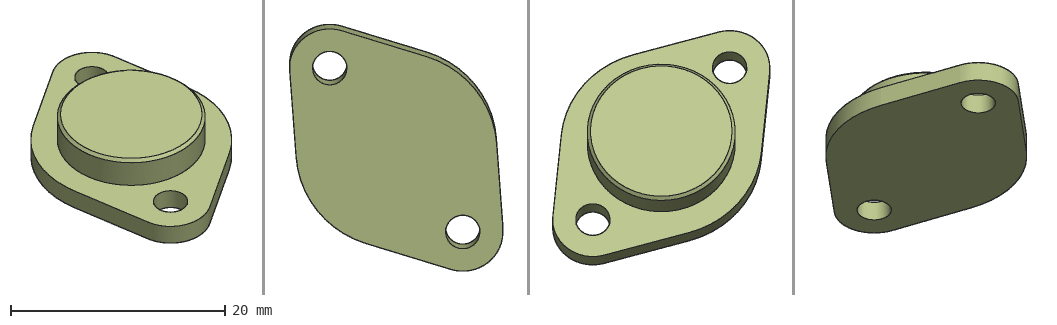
import cadquery as cq
import math

length = 27.5
width = 18.75
height = 5.0
plate_thickness = 2.0
hole_spacing = 20.0
hole_diameter = 3.2
boss_diameter = 13.8
boss_chamfer = 0.3

hole_offset = hole_spacing / 2
center_radius = width / 2
ear_radius = length / 2 - hole_offset

tangent_cos = (center_radius - ear_radius) / hole_offset
tangent_sin = math.sqrt(1 - tangent_cos**2)
center_tangent_x = center_radius * tangent_cos
center_tangent_y = center_radius * tangent_sin
ear_tangent_x = hole_offset + ear_radius * tangent_cos
ear_tangent_y = ear_radius * tangent_sin


def make_plate():
    """Diamond-shaped flange with four straight sides tangent to rounded corners."""
    return (
        cq.Workplane("XY")
        .moveTo(ear_tangent_x, ear_tangent_y)
        .lineTo(center_tangent_x, center_tangent_y)
        .threePointArc((0, center_radius), (-center_tangent_x, center_tangent_y))
        .lineTo(-ear_tangent_x, ear_tangent_y)
        .threePointArc((-length / 2, 0), (-ear_tangent_x, -ear_tangent_y))
        .lineTo(-center_tangent_x, -center_tangent_y)
        .threePointArc((0, -center_radius), (center_tangent_x, -center_tangent_y))
        .lineTo(ear_tangent_x, -ear_tangent_y)
        .threePointArc((length / 2, 0), (ear_tangent_x, ear_tangent_y))
        .close()
        .extrude(plate_thickness)
    )


def make_boss():
    """Round central boss with a chamfered top edge, standing on the plate's base plane."""
    return (
        cq.Workplane("XY")
        .circle(boss_diameter / 2)
        .extrude(height)
        .faces(">Z")
        .chamfer(boss_chamfer)
    )


def make_mounting_holes():
    """Cutters for the through hole in each ear."""
    return (
        cq.Workplane("XY")
        .pushPoints([(-hole_offset, 0), (hole_offset, 0)])
        .circle(hole_diameter / 2)
        .extrude(plate_thickness)
    )


result = make_plate().union(make_boss()).cut(make_mounting_holes())